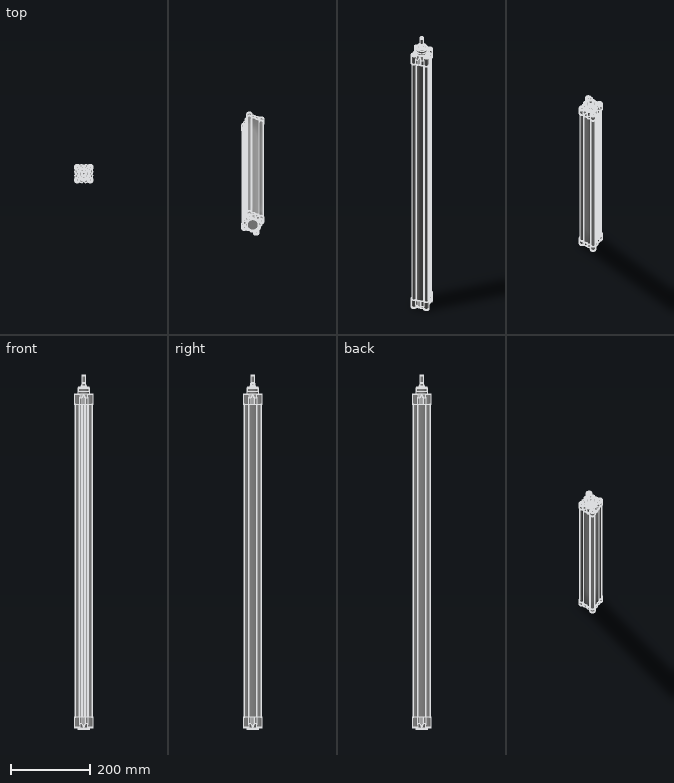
import cadquery as cq
import math

rear_collar_height = 4.0
cap_height = 27.0
stroke = 750.0
face_to_face = 94.0 + stroke
front_base_height = 6.0
front_neck_height = 8.0
front_chamfer_height = 3.0
rod_stick_out = 48.0
thread_length = 22.0

rear_face_z = rear_collar_height
barrel_bottom_z = rear_face_z + cap_height
front_face_z = rear_face_z + face_to_face
barrel_top_z = front_face_z - cap_height
rod_tip_z = front_face_z + rod_stick_out
shoulder_z = rod_tip_z - thread_length

cap_width = 47.0
screw_offset = 32.5 / 2
cap_core_radius = cap_width / 2
cap_boss_radius = cap_core_radius - screw_offset
cone_small_radius = 17.9
cone_height = 10.8
screw_recess_diameter = 10.3
screw_recess_depth = 2.0
screw_hole_diameter = 4.92
screw_hole_depth = 16.0

collar_radius = 15.0
neck_radius = 14.5
neck_top_radius = 12.8
seal_recess_radius = 11.0
seal_recess_depth = 1.0
seal_lip_radius = 7.5
seal_lip_height = 2.5
rear_collar_chamfer = 1.0

rod_radius = 6.0
thread_radius = 5.0
tip_radius = 3.5
tip_taper_length = 2.8
undercut_radius = 4.5
undercut_length = 2.0
flat_width = 10.0
flat_length = 4.0

barrel_core_radius = 19.0
barrel_corner_radius = 5.35
rail_radius = 21.5
rail_half_width = 9.7
slot_rail_height = 21.5
slot_offset = 8.0
slot_mouth = 4.0
slot_diameter = 5.4
slot_centre_depth = 3.2
slot_rail_half_width = 12.0

vee_half_width = 4.4
vee_flank_angle = 47.3
vee_mouth_y = math.sqrt(cap_core_radius**2 - vee_half_width**2)
vee_slope = math.tan(math.radians(vee_flank_angle))
vee_apex_y = vee_mouth_y - vee_half_width * vee_slope
vee_overcut = 1.0
vee_outer_y = cap_core_radius + vee_overcut

corner_points = [(x, y) for x in (-screw_offset, screw_offset) for y in (-screw_offset, screw_offset)]


def vee_cutter(height):
    """Wedge along Z on the -Y side."""
    outer_half_width = (vee_outer_y - vee_apex_y) / vee_slope
    points = [(0, -vee_apex_y), (-outer_half_width, -vee_outer_y), (outer_half_width, -vee_outer_y)]
    return cq.Workplane("XY").polyline(points).close().extrude(height)


def make_cap():
    """Cap standing on its inner face at z = 0, with its mounting face up."""
    straight_height = cap_height - cone_height
    core_profile = [
        (0, 0),
        (cap_core_radius, 0),
        (cap_core_radius, straight_height),
        (cone_small_radius, cap_height),
        (0, cap_height),
    ]
    core = cq.Workplane("XZ").polyline(core_profile).close().revolve(360, (0, 0), (0, 1))
    vee = vee_cutter(cap_height)
    for side in range(4):
        core = core.cut(vee.rotate((0, 0, 0), (0, 0, 1), 90 * side))
    bosses = cq.Workplane("XY").pushPoints(corner_points).circle(cap_boss_radius).extrude(cap_height)
    return (
        core.union(bosses)
        .faces(">Z")
        .workplane(origin=(0, 0, cap_height))
        .pushPoints(corner_points)
        .cboreHole(screw_hole_diameter, screw_recess_diameter, screw_recess_depth, screw_hole_depth)
    )


def make_rear_cap():
    """Cap turned over so that its mounting face and collar point down."""
    collar = cq.Workplane("XY").circle(collar_radius).extrude(rear_collar_height)
    collar = collar.faces("<Z").chamfer(rear_collar_chamfer)
    cap = make_cap().rotate((0, 0, 0), (1, 0, 0), 180).translate((0, 0, barrel_bottom_z))
    return cap.union(collar)


def make_front_cap():
    """Cap with the stepped collar, the seal lip and the hole that the rod passes through."""
    base_top_z = front_face_z + front_base_height
    neck_top_z = base_top_z + front_neck_height
    nose_z = neck_top_z + front_chamfer_height
    collar_profile = [
        (0, front_face_z),
        (collar_radius, front_face_z),
        (collar_radius, base_top_z),
        (neck_radius, base_top_z),
        (neck_radius, neck_top_z),
        (neck_top_radius, nose_z),
        (seal_recess_radius, nose_z),
        (seal_recess_radius, nose_z - seal_recess_depth),
        (seal_lip_radius, nose_z - seal_recess_depth),
        (seal_lip_radius, nose_z + seal_lip_height),
        (0, nose_z + seal_lip_height),
    ]
    collar = cq.Workplane("XZ").polyline(collar_profile).close().revolve(360, (0, 0), (0, 1))
    hole_length = rod_tip_z - barrel_top_z
    rod_hole = cq.Workplane("XY", origin=(0, 0, barrel_top_z)).circle(rod_radius).extrude(hole_length)
    return make_cap().translate((0, 0, barrel_top_z)).union(collar).cut(rod_hole)


def make_barrel():
    """Extruded profile with two undercut slots beside the vee groove on the -Y side."""
    length = barrel_top_z - barrel_bottom_z
    barrel = cq.Workplane("XY").circle(barrel_core_radius).extrude(length)
    corners = cq.Workplane("XY").pushPoints(corner_points).circle(barrel_corner_radius).extrude(length)
    crowned_rails = (
        cq.Workplane("XY")
        .circle(rail_radius)
        .extrude(length)
        .intersect(
            cq.Workplane("XY")
            .rect(2 * rail_half_width, 2 * rail_radius)
            .extrude(length)
            .union(cq.Workplane("XY").rect(2 * rail_radius, 2 * rail_half_width).extrude(length))
        )
    )
    slot_rail = (
        cq.Workplane("XY")
        .center(0, -slot_rail_height / 2)
        .rect(2 * slot_rail_half_width, slot_rail_height)
        .extrude(length)
    )
    barrel = barrel.union(corners).union(crowned_rails).union(slot_rail).cut(vee_cutter(length))
    slot_y = slot_centre_depth - slot_rail_height
    for slot_x in (-slot_offset, slot_offset):
        channel = cq.Workplane("XY").center(slot_x, slot_y).circle(slot_diameter / 2).extrude(length)
        mouth = (
            cq.Workplane("XY")
            .center(slot_x, slot_y - slot_centre_depth)
            .rect(slot_mouth, 2 * slot_centre_depth)
            .extrude(length)
        )
        barrel = barrel.cut(channel).cut(mouth)
    return barrel.translate((0, 0, barrel_bottom_z))


def make_rod():
    """Rod with a plain thread cylinder, an undercut and two wrench flats facing -X and +X."""
    undercut_top_z = shoulder_z + undercut_length
    rod_profile = [
        (0, barrel_top_z),
        (rod_radius, barrel_top_z),
        (rod_radius, shoulder_z),
        (undercut_radius, shoulder_z),
        (undercut_radius, undercut_top_z),
        (thread_radius, undercut_top_z),
        (thread_radius, rod_tip_z - tip_taper_length),
        (tip_radius, rod_tip_z),
        (0, rod_tip_z),
    ]
    rod = cq.Workplane("XZ").polyline(rod_profile).close().revolve(360, (0, 0), (0, 1))
    flat_centre_x = flat_width / 2 + rod_radius / 2
    flat_centre_z = shoulder_z - flat_length / 2
    for side in (-1, 1):
        flat = cq.Workplane("XY").box(rod_radius, 2 * rod_radius, flat_length)
        rod = rod.cut(flat.translate((side * flat_centre_x, 0, flat_centre_z)))
    return rod


rear_cap = make_rear_cap()
front_cap = make_front_cap()
barrel = make_barrel()
rod = make_rod()

result = cq.Compound.makeCompound([rear_cap.val(), front_cap.val(), barrel.val(), rod.val()])